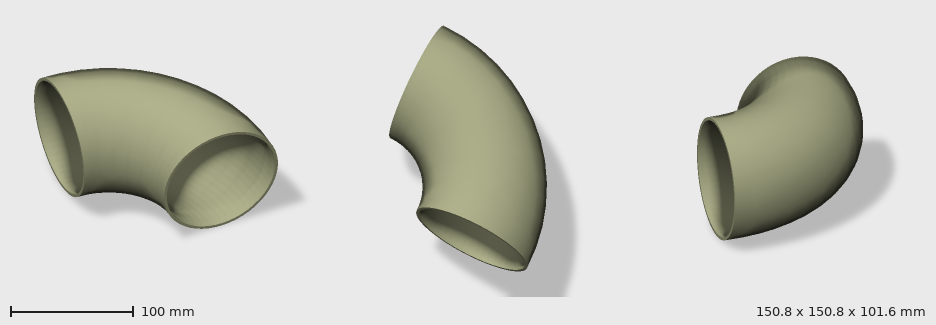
import cadquery as cq

outer_diameter = 101.6
wall_thickness = 2.5
bend_radius = 100.0
bend_angle = 90.0

inner_diameter = outer_diameter - 2 * wall_thickness


def pipe_section():
    """Ring-shaped pipe cross-section on the open end facing -Y."""
    return (
        cq.Workplane("XZ")
        .center(-bend_radius, 0)
        .circle(outer_diameter / 2)
        .circle(inner_diameter / 2)
    )


def elbow():
    """Revolve the section from the -X end round to the +Y end."""
    axis_start = (bend_radius, 0)
    axis_end = (bend_radius, -1)
    return pipe_section().revolve(bend_angle, axis_start, axis_end)


result = elbow()